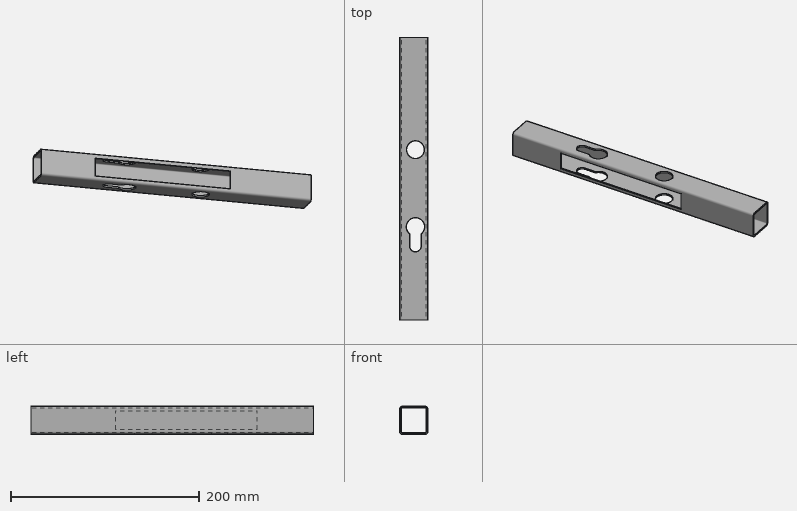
import cadquery as cq

length = 300.0
width = 30.0
wall = 1.8
outer_radius = 3.0
inner_radius = outer_radius - wall

opening_x = 1.8
round_hole_diameter = 18.5
round_hole_y = 31.0
keyhole_diameter = 19.2
keyhole_y = -51.0
keyhole_slot_width = 12.0
keyhole_slot_end_y = -77.5

pocket_height = 19.8
pocket_max_y = 60.0
pocket_min_y = -90.0


def rounded_bar(side, corner_radius):
    """Square bar along Y with rounded long edges."""
    return cq.Workplane("XY").box(side, length, side).edges("|Y").fillet(corner_radius)


def vertical_cylinder(y, diameter):
    """Cutter that passes through both horizontal walls."""
    return cq.Workplane("XY").center(opening_x, y).circle(diameter / 2).extrude(width, both=True)


def keyhole():
    """Cylinder-lock opening: a round head with a round-ended slot toward -Y."""
    slot_end_centre_y = keyhole_slot_end_y + keyhole_slot_width / 2
    slot_straight = keyhole_y - slot_end_centre_y
    slot = (
        cq.Workplane("XY")
        .center(opening_x, keyhole_y - slot_straight / 2)
        .slot2D(slot_straight + keyhole_slot_width, keyhole_slot_width, 90)
        .extrude(width, both=True)
    )
    return vertical_cylinder(keyhole_y, keyhole_diameter).union(slot)


def lock_pocket():
    """Cutter that passes through the +X wall only."""
    pocket_length = pocket_max_y - pocket_min_y
    return (
        cq.Workplane("YZ")
        .center((pocket_max_y + pocket_min_y) / 2, 0)
        .rect(pocket_length, pocket_height)
        .extrude(width)
    )


tube = rounded_bar(width, outer_radius).cut(rounded_bar(width - 2 * wall, inner_radius))
result = tube.cut(vertical_cylinder(round_hole_y, round_hole_diameter)).cut(keyhole()).cut(lock_pocket())